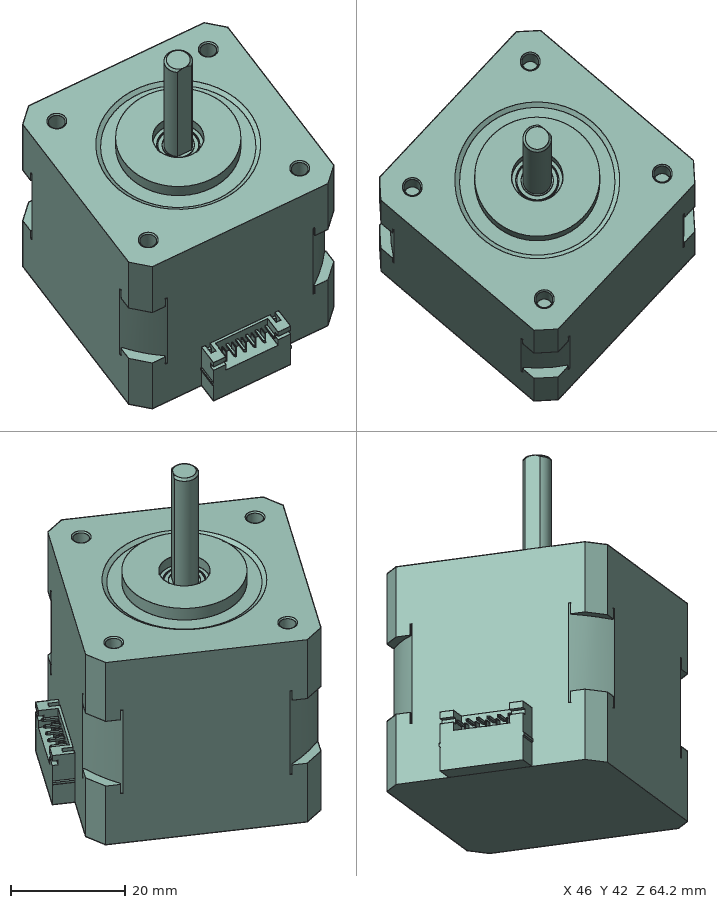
import cadquery as cq
import math

HOUSING_WIDTH = 42.0
HOUSING_HEIGHT = 40.2
CORNER_CHAMFER = 3.0
HALF_WIDTH = HOUSING_WIDTH / 2

STATOR_RADIUS = 25.75
WINDOW_BOTTOM = 13.0
WINDOW_HEIGHT = 14.25
SLIT_WIDTH = 0.4
SLIT_OVERRUN = 2.05

HOLE_PITCH = 31.0
HOLE_RADIUS = 1.5
HOLE_MOUTH_RADIUS = 1.75
HOLE_DEPTH = 4.5

DISH_MOUTH_RADIUS = 14.45
DISH_FLOOR_RADIUS = 13.6
DISH_DEPTH = 0.5

BOSS_RADIUS = 11.0
BOSS_HEIGHT = 2.05
POCKET_RADIUS = 4.5
POCKET_DEPTH = 2.05
SHIELD_GROOVE_OUTER_RADIUS = 3.8
SHIELD_GROOVE_INNER_RADIUS = 3.6
SHAFT_GROOVE_RADIUS = 2.8
GROOVE_DEPTH = 0.2

SHAFT_TOP = 64.2
SHAFT_RADIUS = 2.5
SHAFT_CHAMFER = 0.42
SHAFT_FLAT_X = 2.05

CONNECTOR_LENGTH = 4.05
CONNECTOR_WIDTH = 15.8
CONNECTOR_HEIGHT = 10.85

RIB_HEIGHT = 0.2
RIB_BASE = 0.85
RIB_CREST = 0.45
RIB_CENTER_Z = 4.8

CAVITY_WIDTH = 10.65
BACK_WALL = 0.5
PIN_COUNT = 6
PIN_PITCH = 2.0
PIN_SIZE = 0.45
PIN_REACH = 3.1
PIN_TIP_LENGTH = 0.3
PIN_TIP_SETBACK = 0.1
PIN_CENTER_Z = 9.0
GUIDE_WIDTH = 0.2
GUIDE_REACH = 1.4

NOTCH_DEPTH = 1.0
NOTCH_BOTTOM = 8.65
NOTCH_HEIGHT = 0.95
LATCH_HOLE_LENGTH = 2.0
LATCH_HOLE_WIDTH = 0.95
LATCH_HOLE_PITCH = 13.3
LATCH_STEP_DEPTH = 0.95

BOSS_TOP = HOUSING_HEIGHT + BOSS_HEIGHT
POCKET_FLOOR = BOSS_TOP - POCKET_DEPTH
CAVITY_FLOOR = 2 * PIN_CENTER_Z - CONNECTOR_HEIGHT


def box(x_range, y_range, z_range):
    """Block between the given limits on each axis."""
    size = [high - low for low, high in (x_range, y_range, z_range)]
    corner = (x_range[0], y_range[0], z_range[0])
    return cq.Workplane("XY").box(*size, centered=False).translate(corner)


def cylinder(radius, bottom, top):
    """Upright cylinder on the shaft axis."""
    return cq.Workplane("XY").workplane(offset=bottom).circle(radius).extrude(top - bottom)


def ring(outer_radius, inner_radius, bottom, top):
    """Upright tube on the shaft axis."""
    return cylinder(outer_radius, bottom, top).cut(cylinder(inner_radius, bottom, top))


def centered(width, middle=0.0):
    """Limits of a stretch of the given width about its middle."""
    return (middle - width / 2, middle + width / 2)


def block():
    """Square housing block with chamfered vertical edges."""
    return (
        cq.Workplane("XY")
        .rect(HOUSING_WIDTH, HOUSING_WIDTH)
        .extrude(HOUSING_HEIGHT)
        .edges("|Z")
        .chamfer(CORNER_CHAMFER)
    )


def corner_windows():
    """Everything outside the stator cylinder, with a taller narrow slit where it meets each side."""
    window_top = WINDOW_BOTTOM + WINDOW_HEIGHT
    slit_bottom = WINDOW_BOTTOM - SLIT_OVERRUN
    slit_top = window_top + SLIT_OVERRUN
    slit_end = math.sqrt(STATOR_RADIUS**2 - HALF_WIDTH**2) + SLIT_WIDTH

    side = centered(HOUSING_WIDTH)
    windows = box(side, side, (WINDOW_BOTTOM, window_top))
    strip = centered(2 * slit_end)
    slits = box(side, strip, (slit_bottom, slit_top)).union(box(strip, side, (slit_bottom, slit_top)))
    return windows.union(slits).cut(cylinder(STATOR_RADIUS, slit_bottom, slit_top))


def mounting_holes():
    """Blind holes with a 45 degree countersink."""
    sink = HOLE_MOUTH_RADIUS - HOLE_RADIUS
    profile = [
        (0, 0),
        (HOLE_MOUTH_RADIUS, 0),
        (HOLE_RADIUS, -sink),
        (HOLE_RADIUS, -HOLE_DEPTH),
        (0, -HOLE_DEPTH),
    ]
    hole = cq.Workplane("XZ").polyline(profile).close().revolve(360, (0, 0), (0, 1)).val()
    return (
        cq.Workplane("XY")
        .workplane(offset=HOUSING_HEIGHT)
        .rect(HOLE_PITCH, HOLE_PITCH, forConstruction=True)
        .vertices()
        .eachpoint(lambda place: hole.moved(place), combine=False)
    )


def dish():
    """Shallow cone-sided recess in the top face."""
    floor = HOUSING_HEIGHT - DISH_DEPTH
    profile = [
        (0, floor),
        (DISH_FLOOR_RADIUS, floor),
        (DISH_MOUTH_RADIUS, HOUSING_HEIGHT),
        (0, HOUSING_HEIGHT),
    ]
    return cq.Workplane("XZ").polyline(profile).close().revolve(360, (0, 0), (0, 1))


def boss():
    """Pilot boss with its bearing pocket and the two ring grooves in the pocket floor."""
    groove_floor = POCKET_FLOOR - GROOVE_DEPTH
    shield_groove = ring(SHIELD_GROOVE_OUTER_RADIUS, SHIELD_GROOVE_INNER_RADIUS, groove_floor, POCKET_FLOOR)
    shaft_groove = cylinder(SHAFT_GROOVE_RADIUS, groove_floor, POCKET_FLOOR)
    return (
        cylinder(BOSS_RADIUS, HOUSING_HEIGHT - DISH_DEPTH, BOSS_TOP)
        .cut(cylinder(POCKET_RADIUS, POCKET_FLOOR, BOSS_TOP))
        .cut(shield_groove)
        .cut(shaft_groove)
    )


def shaft():
    """Round shaft with a chamfered top end and one flat."""
    bottom = POCKET_FLOOR - GROOVE_DEPTH
    bar = cylinder(SHAFT_RADIUS, bottom, SHAFT_TOP).faces(">Z").chamfer(SHAFT_CHAMFER)
    flat = box((SHAFT_FLAT_X, SHAFT_RADIUS), centered(2 * SHAFT_RADIUS), (bottom, SHAFT_TOP))
    return bar.cut(flat)


def make_motor():
    """Housing, boss and shaft as one solid."""
    body = block().cut(corner_windows()).cut(mounting_holes()).cut(dish())
    return body.union(boss()).union(shaft())


def end_ribs():
    """Trapezoidal ribs along both ends of the connector."""
    end = CONNECTOR_WIDTH / 2
    profile = [
        (end, RIB_CENTER_Z - RIB_BASE / 2),
        (end + RIB_HEIGHT, RIB_CENTER_Z - RIB_CREST / 2),
        (end + RIB_HEIGHT, RIB_CENTER_Z + RIB_CREST / 2),
        (end, RIB_CENTER_Z + RIB_BASE / 2),
    ]
    rib = cq.Workplane("YZ").workplane(offset=HALF_WIDTH).polyline(profile).close().extrude(CONNECTOR_LENGTH)
    return rib.union(rib.mirror("XZ"))


def latch_holes():
    """Two holes in the connector top, each with a shallow step over the back wall."""
    start = HALF_WIDTH
    step_end = HALF_WIDTH + BACK_WALL
    step_z = (CONNECTOR_HEIGHT - LATCH_STEP_DEPTH, CONNECTOR_HEIGHT)
    hole_z = (CAVITY_FLOOR, CONNECTOR_HEIGHT)

    hole_y = centered(LATCH_HOLE_WIDTH, LATCH_HOLE_PITCH / 2)
    step = box((start, step_end), hole_y, step_z)
    hole = box((step_end, start + LATCH_HOLE_LENGTH), hole_y, hole_z).union(step)
    return hole.union(hole.mirror("XZ"))


def pin(middle_y):
    """Square pin with a tapered tip, standing out from the back wall of the plug opening."""
    root = HALF_WIDTH + BACK_WALL
    shank_end = root + PIN_REACH - PIN_TIP_LENGTH
    tip_size = PIN_SIZE - 2 * PIN_TIP_SETBACK
    shank = box((root, shank_end), centered(PIN_SIZE, middle_y), centered(PIN_SIZE, PIN_CENTER_Z))
    tip = (
        cq.Workplane("YZ", origin=(shank_end, middle_y, PIN_CENTER_Z))
        .rect(PIN_SIZE, PIN_SIZE)
        .workplane(offset=PIN_TIP_LENGTH)
        .rect(tip_size, tip_size)
        .loft()
    )
    return shank.union(tip)


def guide(middle_y):
    """Thin rib in the plug opening, between two pins."""
    root = HALF_WIDTH + BACK_WALL
    return box((root, root + GUIDE_REACH), centered(GUIDE_WIDTH, middle_y), (CAVITY_FLOOR, PIN_CENTER_Z))


def row_places(count):
    """Y places of a row of items one pin pitch apart, about the middle of the connector."""
    return [(number - (count - 1) / 2) * PIN_PITCH for number in range(count)]


def make_connector():
    """Connector shell with its plug opening, pins, guides, notch and latch holes."""
    front = HALF_WIDTH + CONNECTOR_LENGTH
    back = HALF_WIDTH + BACK_WALL
    full_width = centered(CONNECTOR_WIDTH)
    opening = box((back, front), centered(CAVITY_WIDTH), (CAVITY_FLOOR, CONNECTOR_HEIGHT))
    notch = box((front - NOTCH_DEPTH, front), full_width, (NOTCH_BOTTOM, NOTCH_BOTTOM + NOTCH_HEIGHT))

    shell = box((HALF_WIDTH, front), full_width, (0, CONNECTOR_HEIGHT)).union(end_ribs())
    shell = shell.cut(opening).cut(notch).cut(latch_holes())
    for middle_y in row_places(PIN_COUNT):
        shell = shell.union(pin(middle_y))
    for middle_y in row_places(PIN_COUNT - 1):
        shell = shell.union(guide(middle_y))
    return shell


motor = make_motor()
connector = make_connector()

result = cq.Compound.makeCompound([motor.solids().val(), connector.solids().val()])